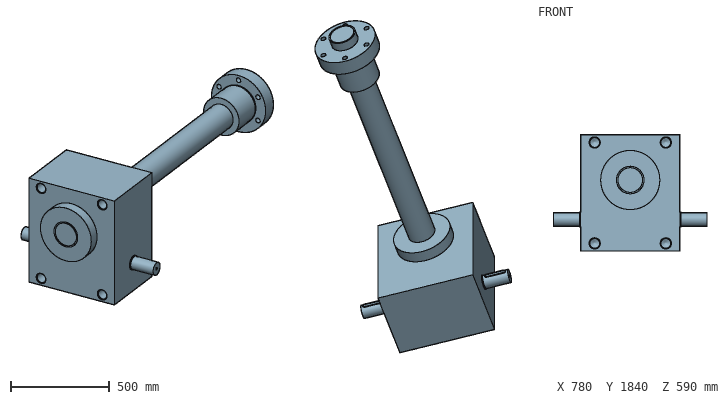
import cadquery as cq
import math

FORWARD = cq.Vector(0, 1, 0)

total_length = 1840.0
total_width = 780.0

housing_width = 505.0
housing_depth = 372.0
housing_height = 590.0
screw_axis_below_top = 230.0
boss_diameter = 300.0
front_boss_length = 57.0
rear_boss_length = 60.0

mount_hole_diameter = 50.0
mount_hole_chamfer = 4.0
mount_hole_depth = 74.0
mount_hole_spacing_x = 360.0
mount_hole_spacing_z = 512.0
drill_tip_angle = 118.0

thread_diameter = 140.0
core_diameter = 125.0

shaft_diameter = 70.0
shaft_collar_diameter = 75.0
shaft_collar_projection = 5.0
shaft_drop = 200.0
shaft_setback = 188.0
center_hole_diameter = 11.8
center_hole_depth = 18.0

key_length = 110.0
key_width = 20.0
key_projection = 4.0
key_end_distance = 11.0

nut_barrel_diameter = 210.0
nut_barrel_length = 171.0
nut_relief_diameter = 206.0
nut_relief_width = 7.0
nut_flange_diameter = 320.0
nut_flange_thickness = 80.0
nut_end_setback = 50.0
nut_hole_diameter = 25.0
nut_hole_circle_diameter = 265.0
nut_hole_count = 6

housing_center_z = screw_axis_below_top - housing_height / 2
screw_start = -front_boss_length
nut_end = screw_start + total_length - nut_end_setback
nut_flange_start = nut_end - nut_flange_thickness
nut_start = nut_flange_start - nut_barrel_length


def cylinder(diameter, start, length, direction):
    return cq.Workplane(cq.Solid.makeCylinder(diameter / 2, length, start, direction))


def cylinder_y(diameter, start_y, length, x=0, z=0):
    """Cylinder that starts on the plane Y = start_y and runs rearwards."""
    return cylinder(diameter, cq.Vector(x, start_y, z), length, FORWARD)


def shaft_cylinder(diameter, length):
    """Cylinder on the worm shaft axis, centred on the housing."""
    start = cq.Vector(-length / 2, shaft_setback, -shaft_drop)
    return cylinder(diameter, start, length, cq.Vector(1, 0, 0))


def drilled_hole(diameter, depth, mouth, direction):
    """Solid shape of a blind hole with a conical drill tip."""
    radius = diameter / 2
    tip_length = radius / math.tan(math.radians(drill_tip_angle / 2))
    tip = cq.Solid.makeCone(radius, 0, tip_length, mouth + direction * depth, direction)
    return cylinder(diameter, mouth, depth, direction).union(cq.Workplane(tip))


def mount_hole(x, z):
    """Solid shape of a mounting hole with a chamfered mouth."""
    mouth = cq.Vector(x, 0, z)
    radius = mount_hole_diameter / 2
    chamfer = cq.Solid.makeCone(
        radius + mount_hole_chamfer, radius, mount_hole_chamfer, mouth, FORWARD)
    hole = drilled_hole(mount_hole_diameter, mount_hole_depth, mouth, FORWARD)
    return hole.union(cq.Workplane(chamfer))


def make_housing():
    block = cq.Workplane("XY").box(housing_width, housing_depth, housing_height)
    block = block.translate((0, housing_depth / 2, housing_center_z))
    boss_span = front_boss_length + housing_depth + rear_boss_length
    housing = block.union(cylinder_y(boss_diameter, -front_boss_length, boss_span))
    for x_side in (-1, 1):
        for z_side in (-1, 1):
            x = x_side * mount_hole_spacing_x / 2
            z = housing_center_z + z_side * mount_hole_spacing_z / 2
            housing = housing.cut(mount_hole(x, z))
    housing = housing.cut(cylinder_y(thread_diameter, -front_boss_length, boss_span))
    return housing.cut(shaft_cylinder(shaft_collar_diameter, housing_width))


def make_screw_core():
    return cylinder_y(core_diameter, screw_start, total_length)


def make_thread_sleeve():
    sleeve = cylinder_y(thread_diameter, screw_start, total_length)
    return sleeve.cut(cylinder_y(core_diameter, screw_start, total_length))


def shaft_key(side):
    """Key on one shaft end, reaching inwards to the shaft axis."""
    height = shaft_diameter / 2 + key_projection
    center_x = total_width / 2 - key_end_distance - key_length / 2
    key = cq.Workplane("XZ").slot2D(key_length, key_width).extrude(-height)
    return key.translate((side * center_x, shaft_setback, -shaft_drop))


def make_worm_shaft():
    collar_span = housing_width + 2 * shaft_collar_projection
    shaft = shaft_cylinder(shaft_diameter, total_width)
    shaft = shaft.union(shaft_cylinder(shaft_collar_diameter, collar_span))
    for side in (-1, 1):
        shaft = shaft.union(shaft_key(side))
        end_center = cq.Vector(side * total_width / 2, shaft_setback, -shaft_drop)
        inwards = cq.Vector(-side, 0, 0)
        shaft = shaft.cut(drilled_hole(center_hole_diameter, center_hole_depth, end_center, inwards))
    return shaft


def make_nut():
    nut = cylinder_y(nut_barrel_diameter, nut_start, nut_barrel_length - nut_relief_width)
    relief_start = nut_flange_start - nut_relief_width
    nut = nut.union(cylinder_y(nut_relief_diameter, relief_start, nut_relief_width))
    nut = nut.union(cylinder_y(nut_flange_diameter, nut_flange_start, nut_flange_thickness))
    for index in range(nut_hole_count):
        angle = 2 * math.pi * (index + 0.5) / nut_hole_count
        x = nut_hole_circle_diameter / 2 * math.cos(angle)
        z = nut_hole_circle_diameter / 2 * math.sin(angle)
        nut = nut.cut(cylinder_y(nut_hole_diameter, nut_flange_start, nut_flange_thickness, x, z))
    return nut.cut(cylinder_y(thread_diameter, nut_start, nut_end - nut_start))


housing = make_housing()
screw_core = make_screw_core()
thread_sleeve = make_thread_sleeve()
worm_shaft = make_worm_shaft()
nut = make_nut()

result = cq.Compound.makeCompound([
    housing.val(),
    screw_core.val(),
    thread_sleeve.val(),
    worm_shaft.val(),
    nut.val(),
])